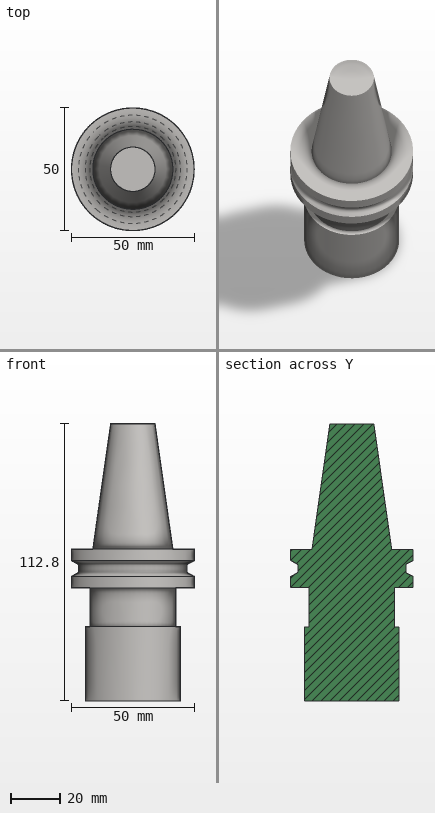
import cadquery as cq

total_length = 112.8
nut_length = 30.2
flange_bottom = 46.0
flange_top = 61.7

nut_diameter = 38.7
neck_diameter = 35.0
flange_diameter = 50.0
groove_diameter = 44.1
taper_base_diameter = 32.6
taper_tip_diameter = 18.0

lower_rim_height = 4.6
upper_rim_height = 4.6
groove_floor_width = 3.3
groove_corner_radius = 0.6

groove_bottom = flange_bottom + lower_rim_height
groove_top = flange_top - upper_rim_height
groove_wall_height = (groove_top - groove_bottom - groove_floor_width) / 2


def cylinder(diameter, bottom, top):
    """Solid cylinder on the Z axis between two heights."""
    return cq.Workplane("XY").workplane(offset=bottom).circle(diameter / 2).extrude(top - bottom)


def flange_groove():
    """Ring of trapezoidal section that is cut from the flange rim."""
    rim_radius = flange_diameter / 2
    floor_radius = groove_diameter / 2
    ring = (
        cq.Workplane("XZ")
        .moveTo(rim_radius, groove_bottom)
        .lineTo(floor_radius, groove_bottom + groove_wall_height)
        .lineTo(floor_radius, groove_top - groove_wall_height)
        .lineTo(rim_radius, groove_top)
        .close()
        .revolve(360, (0, 0, 0), (0, 1, 0))
    )
    floor_edges = ring.edges(cq.selectors.RadiusNthSelector(0))
    return floor_edges.fillet(groove_corner_radius)


def taper_shank():
    """Conical shank that narrows from the flange to the tip."""
    return (
        cq.Workplane("XY")
        .workplane(offset=flange_top)
        .circle(taper_base_diameter / 2)
        .workplane(offset=total_length - flange_top)
        .circle(taper_tip_diameter / 2)
        .loft(ruled=True)
    )


nut = cylinder(nut_diameter, 0, nut_length)
neck = cylinder(neck_diameter, nut_length, flange_bottom)
flange = cylinder(flange_diameter, flange_bottom, flange_top).cut(flange_groove())

result = nut.union(neck).union(flange).union(taper_shank())